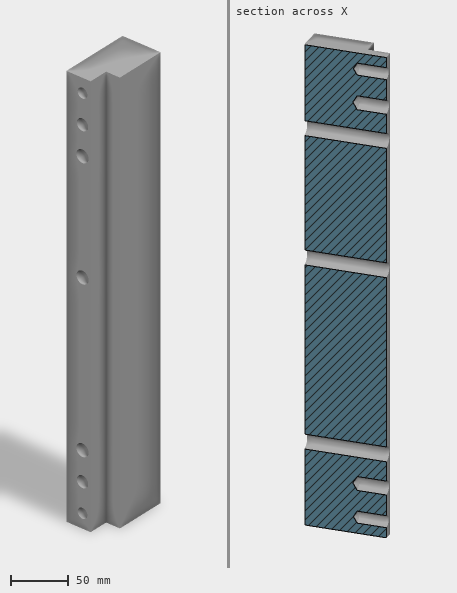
import cadquery as cq
import math

width = 43.0
depth = 76.5
length = 457.0

rebate_width = 15.5
rebate_depth = 21.0

hole_x = 18.5
end_offset = 15.5
hole_pitch = 32.0
small_diameter = 11.0
large_diameter = 13.0
through_diameter = 13.5
middle_hole_z = 254.5
blind_depth = 27.5
drill_point_angle = 118.0


def through_hole(z):
    """Straight hole through the full depth of the bar."""
    cylinder = cq.Solid.makeCylinder(
        through_diameter / 2, depth, cq.Vector(hole_x, 0, z), cq.Vector(0, 1, 0)
    )
    return cq.Workplane(obj=cylinder)


def blind_hole(z, diameter):
    """Drilled hole from the front face, ending in a conical drill point."""
    radius = diameter / 2
    tip_depth = radius / math.tan(math.radians(drill_point_angle / 2))
    half_section = (
        cq.Workplane("XY", origin=(hole_x, 0, z))
        .lineTo(radius, 0)
        .lineTo(radius, blind_depth)
        .lineTo(0, blind_depth + tip_depth)
        .close()
    )
    return half_section.revolve(360, (0, 0), (0, 1))


rebate_x = width - rebate_width
bar = (
    cq.Workplane("XY")
    .lineTo(rebate_x, 0)
    .lineTo(rebate_x, rebate_depth)
    .lineTo(width, rebate_depth)
    .lineTo(width, depth)
    .lineTo(0, depth)
    .close()
    .extrude(length)
)

for end_z, inward in ((0, 1), (length, -1)):
    small_z = end_z + inward * end_offset
    large_z = small_z + inward * hole_pitch
    through_z = large_z + inward * hole_pitch
    bar = bar.cut(blind_hole(small_z, small_diameter))
    bar = bar.cut(blind_hole(large_z, large_diameter))
    bar = bar.cut(through_hole(through_z))

result = bar.cut(through_hole(middle_hole_z))